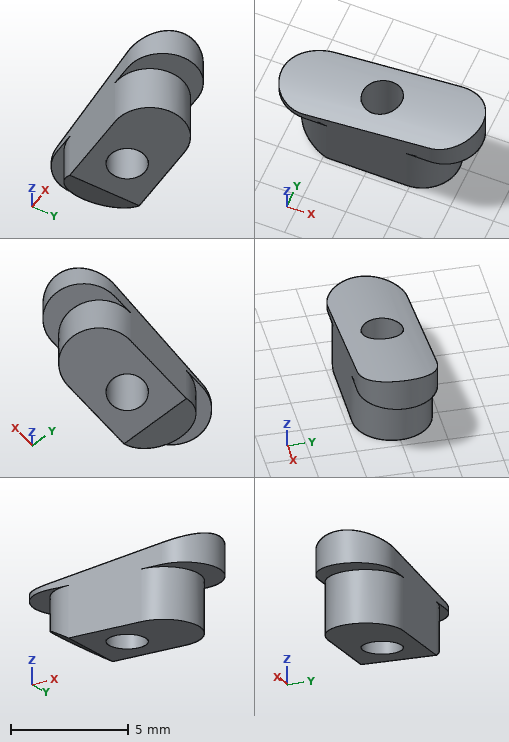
import cadquery as cq
import math

width = 3.48
flange_length = 9.3
block_length = 7.2
block_height = 2.4
total_height = 3.9
hole_diameter = 1.8

crown_radius = 5.5
crown_tilt = 7.0

ramp_angle = 30.0

end_radius = width / 2


def rounded_bar(length, height):
    """Upright bar with full-round ends, standing on Z = 0."""
    return cq.Workplane("XY").slot2D(length, width).extrude(height)


def crown_cylinder():
    """Tilted cylinder whose ridge meets the +X end of the flange at full height."""
    tilt = math.radians(crown_tilt)
    ridge_end = cq.Vector(flange_length / 2, 0, total_height)
    axis = cq.Vector(math.cos(tilt), 0, math.sin(tilt))
    to_ridge = cq.Vector(-math.sin(tilt), 0, math.cos(tilt))
    start = ridge_end - to_ridge * crown_radius - axis * (2 * flange_length)
    return cq.Workplane(cq.Solid.makeCylinder(crown_radius, 3 * flange_length, start, axis))


def ramp_cutter():
    """Wedge running from the start of the flat side down to the end of the block."""
    ramp_rise = end_radius * math.tan(math.radians(ramp_angle))
    block_end = -block_length / 2
    return (
        cq.Workplane("XZ")
        .moveTo(block_end, 0)
        .lineTo(block_end + end_radius, 0)
        .lineTo(block_end, ramp_rise)
        .close()
        .extrude(end_radius, both=True)
    )


block = rounded_bar(block_length, total_height).cut(ramp_cutter())
flange = rounded_bar(flange_length, total_height - block_height).translate((0, 0, block_height))
body = block.union(flange).intersect(crown_cylinder())

hole = cq.Workplane("XY").circle(hole_diameter / 2).extrude(total_height)
result = body.cut(hole)